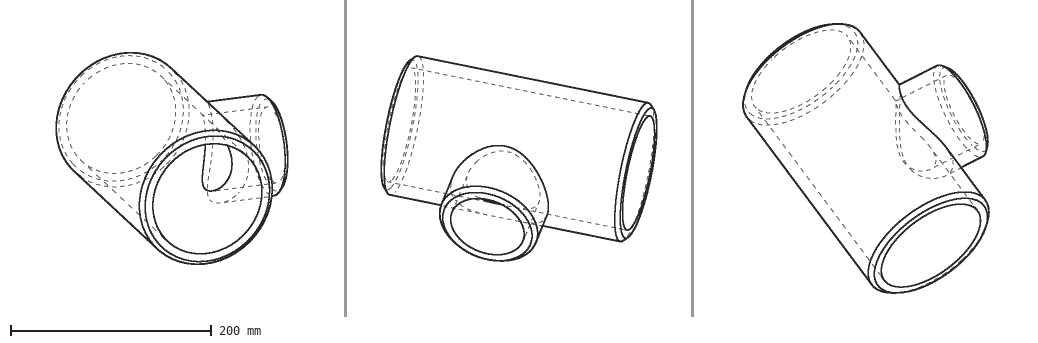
import cadquery as cq

run_length = 248.0
run_diameter = 141.3
run_bore = 116.0

branch_reach = 114.3
branch_diameter = 101.6

wall = (run_diameter - run_bore) / 2
branch_bore = branch_diameter - 2 * wall
bevel = 4.5


def run_cylinder(diameter):
    """Cylinder along X, centred on the origin."""
    return cq.Workplane("YZ").circle(diameter / 2).extrude(run_length / 2, both=True)


def branch_cylinder(diameter):
    """Cylinder along +Y, starting on the run axis."""
    return cq.Workplane("XZ").circle(diameter / 2).extrude(-branch_reach)


run_outside = run_cylinder(run_diameter).faces("<X or >X").chamfer(bevel)
branch_outside = branch_cylinder(branch_diameter).faces(">Y").chamfer(bevel)

result = (
    run_outside.union(branch_outside)
    .cut(run_cylinder(run_bore))
    .cut(branch_cylinder(branch_bore))
)